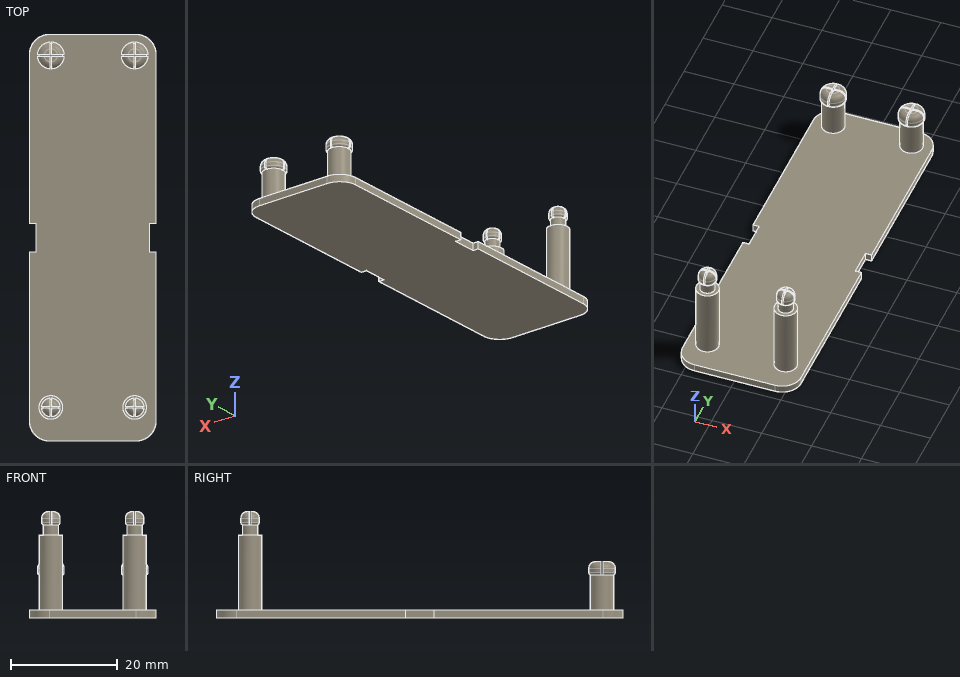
import cadquery as cq

plate_width = 23.8
plate_length = 76.2
plate_thickness = 1.5
corner_radius = 3.8

notch_depth = 1.2
notch_length = 5.25

post_spacing = 15.7
short_post_end_distance = 4.0
tall_post_end_distance = 6.3

post_diameter = 4.4
short_post_top = 10.6
tall_post_top = 20.0
tall_shoulder_height = 15.55
neck_diameter = 2.9

short_head_diameter = 5.0
tall_head_diameter = 3.5
head_height = 2.5
dome_radius = 1.3
taper_height = 0.45
slot_width = 0.3


def cylinder(diameter, bottom, top):
    return cq.Workplane("XY").workplane(offset=bottom).circle(diameter / 2).extrude(top - bottom)


def split_head(head_diameter, shaft_diameter, top):
    """Domed head on a shaft, split into quarters by two crossed slots."""
    bottom = top - head_height
    head_radius = head_diameter / 2
    head = (
        cq.Workplane("XZ")
        .moveTo(0, bottom)
        .lineTo(0, top)
        .lineTo(head_radius - dome_radius, top)
        .tangentArcPoint((head_radius, top - dome_radius), relative=False)
        .lineTo(head_radius, bottom + taper_height)
        .tangentArcPoint((shaft_diameter / 2, bottom), relative=False)
        .close()
        .revolve(360, (0, 0, 0), (0, 1, 0))
    )
    for slot_size in ((head_diameter, slot_width), (slot_width, head_diameter)):
        slot = cq.Workplane("XY").workplane(offset=bottom).rect(*slot_size).extrude(head_height)
        head = head.cut(slot)
    return head


def make_plate():
    plate = cq.Workplane("XY").rect(plate_width, plate_length).extrude(plate_thickness)
    plate = plate.edges("|Z").fillet(corner_radius)
    notches = (
        cq.Workplane("XY")
        .pushPoints([(-plate_width / 2, 0), (plate_width / 2, 0)])
        .rect(2 * notch_depth, notch_length)
        .extrude(plate_thickness)
    )
    return plate.cut(notches)


def make_short_post():
    """Plain shaft with the head directly on top."""
    shaft = cylinder(post_diameter, 0, short_post_top - head_height)
    return shaft.union(split_head(short_head_diameter, post_diameter, short_post_top))


def make_tall_post():
    """Shaft with a shoulder, a thinner neck and a smaller head."""
    shaft = cylinder(post_diameter, 0, tall_shoulder_height)
    neck = cylinder(neck_diameter, tall_shoulder_height, tall_post_top - head_height)
    return shaft.union(neck).union(split_head(tall_head_diameter, neck_diameter, tall_post_top))


short_post = make_short_post()
tall_post = make_tall_post()
short_post_y = plate_length / 2 - short_post_end_distance
tall_post_y = -plate_length / 2 + tall_post_end_distance

result = make_plate()
for post_x in (-post_spacing / 2, post_spacing / 2):
    result = result.union(short_post.translate((post_x, short_post_y, 0)))
    result = result.union(tall_post.translate((post_x, tall_post_y, 0)))